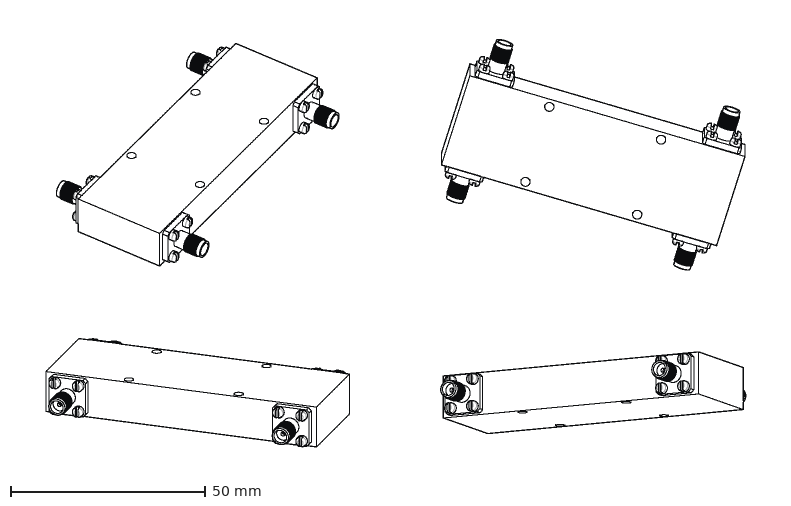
import cadquery as cq

overall_x = 44.0

body_x = 25.0
body_y = 74.0
body_z = 11.0

hole_diameter = 2.4
hole_offset_x = 10.5
hole_offset_y = 15.0

connector_inset = 6.45
connector_reach = (overall_x - body_x) / 2
flange_size = 10.1
flange_thickness = 1.6
flange_chamfer = 0.75

screw_offset_y = 3.2
screw_offset_z = 3.55
head_radius = 1.4
head_height = 1.6
head_rounding = 0.7
slot_width = 0.75
slot_depth = 0.95

barrel_radius = 2.2
thread_radius = 2.45
thread_crest_flat = 0.2
thread_pitch = 0.47
thread_count = 8
thread_tip_gap = 1.1
bore_radius = 1.7
bore_depth = 1.9
contact_hole_radius = 0.5
contact_hole_depth = 1.1


def make_barrel():
    """Barrel along +Z from the housing side, with ring threads, bore and contact hole."""
    thread_end = connector_reach - thread_tip_gap
    thread_start = thread_end - thread_count * thread_pitch
    flank = (thread_pitch - thread_crest_flat) / 2
    outline = cq.Workplane("XZ").lineTo(barrel_radius, 0)
    for i in range(thread_count):
        root = thread_start + i * thread_pitch
        outline = outline.lineTo(barrel_radius, root)
        outline = outline.lineTo(thread_radius, root + flank)
        outline = outline.lineTo(thread_radius, root + flank + thread_crest_flat)
    outline = outline.lineTo(barrel_radius, thread_end).lineTo(barrel_radius, connector_reach)
    outline = outline.lineTo(0, connector_reach).close()
    barrel = outline.revolve(360, (0, 0, 0), (0, 1, 0))

    barrel = barrel.faces(">Z").workplane().hole(2 * bore_radius, bore_depth)
    contact_depth = bore_depth + contact_hole_depth
    return barrel.faces(">Z").workplane().hole(2 * contact_hole_radius, contact_depth)


def make_screw_head():
    """Rounded screw head standing on the flange, its slot running along the local X axis."""
    head = cq.Workplane("XY").workplane(offset=flange_thickness).circle(head_radius).extrude(head_height)
    head = head.faces(">Z").edges().fillet(head_rounding)
    slot_floor = flange_thickness + head_height - slot_depth
    slot = (
        cq.Workplane("XY").workplane(offset=slot_floor)
        .rect(2 * head_radius, slot_width).extrude(slot_depth)
    )
    return head.cut(slot)


def make_connector():
    """Complete connector pointing along +Z; local X becomes the housing's Z direction."""
    connector = cq.Workplane("XY").rect(flange_size, flange_size).extrude(flange_thickness)
    connector = connector.edges("|Z").chamfer(flange_chamfer)
    head = make_screw_head()
    for side_x in (-1, 1):
        for side_y in (-1, 1):
            connector = connector.union(
                head.translate((side_x * screw_offset_z, side_y * screw_offset_y, 0))
            )
    return connector.union(make_barrel())


housing = cq.Workplane("XY").box(body_x, body_y, body_z)
housing = (
    housing.faces(">Z").workplane()
    .rect(2 * hole_offset_x, 2 * hole_offset_y, forConstruction=True)
    .vertices().hole(hole_diameter)
)

result = housing
connector = make_connector()
for side_x in (-1, 1):
    turned = connector.rotate((0, 0, 0), (0, 1, 0), side_x * 90)
    for side_y in (-1, 1):
        connector_y = side_y * (body_y / 2 - connector_inset)
        result = result.union(turned.translate((side_x * body_x / 2, connector_y, 0)))